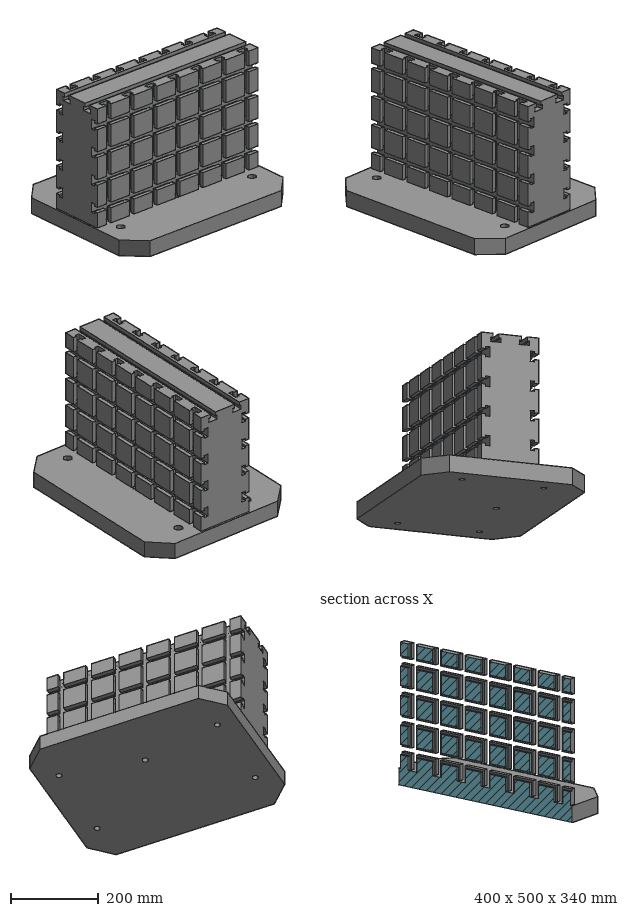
import cadquery as cq

BASE_X = 400.0
BASE_Y = 500.0
BASE_Z = 40.0
CORNER_CHAMFER = 50.0

COLUMN_X = 140.0
COLUMN_Y = 490.0
COLUMN_Z = 300.0
TOP_Z = BASE_Z + COLUMN_Z

SLOT_PITCH = 70.0
NECK_WIDTH = 14.0
NECK_DEPTH = 10.0
HEAD_WIDTH = 24.0
SLOT_DEPTH = 20.0
ROWS = 4
COLUMNS = 7
TOP_SLOTS = 2

HOLE_DIAMETER = 13.5
BORE_DIAMETER = 20.0
BORE_DEPTH = 13.0
HOLE_SPACING_X = 200.0
HOLE_SPACING_Y = 400.0
LOCATING_HOLE_X = 62.5
LOCATING_DIAMETER = 14.0


def centred_positions(count):
    """Slot positions spaced by the pitch and centred on zero."""
    return [(i - (count - 1) / 2) * SLOT_PITCH for i in range(count)]


def slot_outline(plane):
    """T-slot section opening at local y = 0 and sunk towards -y."""
    neck = NECK_WIDTH / 2
    head = HEAD_WIDTH / 2
    return (
        cq.Workplane(plane)
        .moveTo(-neck, 0)
        .lineTo(-neck, -NECK_DEPTH)
        .lineTo(-head, -NECK_DEPTH)
        .lineTo(-head, -SLOT_DEPTH)
        .lineTo(head, -SLOT_DEPTH)
        .lineTo(head, -NECK_DEPTH)
        .lineTo(neck, -NECK_DEPTH)
        .lineTo(neck, 0)
        .close()
    )


def make_base():
    plate = (
        cq.Workplane("XY")
        .box(BASE_X, BASE_Y, BASE_Z, centered=(True, True, False))
        .edges("|Z")
        .chamfer(CORNER_CHAMFER)
    )
    return (
        plate.faces(">Z")
        .workplane()
        .rect(HOLE_SPACING_X, HOLE_SPACING_Y, forConstruction=True)
        .vertices()
        .cboreHole(HOLE_DIAMETER, BORE_DIAMETER, BORE_DEPTH)
    )


def make_column():
    column = cq.Workplane("XY", origin=(0, 0, BASE_Z)).box(
        COLUMN_X, COLUMN_Y, COLUMN_Z, centered=(True, True, False)
    )

    for x in centred_positions(TOP_SLOTS):
        plane = cq.Plane(origin=(x, 0, TOP_Z), xDir=(1, 0, 0), normal=(0, -1, 0))
        column = column.cut(slot_outline(plane).extrude(COLUMN_Y / 2, both=True))

    middle_z = BASE_Z + COLUMN_Z / 2
    for side in (-1, 1):
        face_x = side * COLUMN_X / 2
        for z in centred_positions(ROWS):
            plane = cq.Plane(
                origin=(face_x, 0, middle_z + z), xDir=(0, 0, -side), normal=(0, -1, 0)
            )
            column = column.cut(slot_outline(plane).extrude(COLUMN_Y / 2, both=True))
        for y in centred_positions(COLUMNS):
            plane = cq.Plane(
                origin=(face_x, y, middle_z), xDir=(0, -side, 0), normal=(0, 0, 1)
            )
            column = column.cut(slot_outline(plane).extrude(COLUMN_Z / 2, both=True))
    return column


def locating_hole():
    """Hole through the plate, below the middle upright slot on the +X side."""
    return (
        cq.Workplane("XY")
        .center(LOCATING_HOLE_X, 0)
        .circle(LOCATING_DIAMETER / 2)
        .extrude(BASE_Z)
    )


result = make_base().cut(locating_hole()).union(make_column())